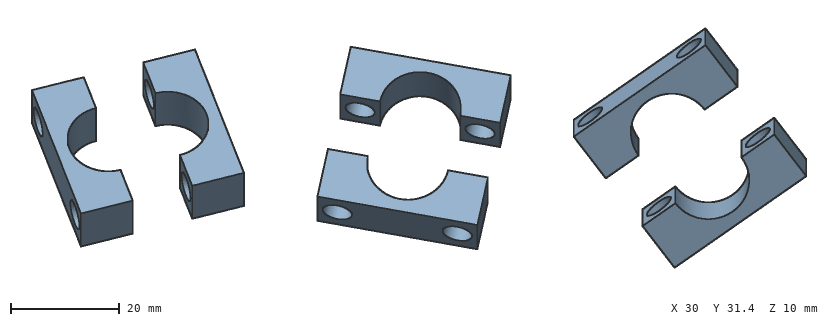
import cadquery as cq

overall_depth = 31.4
block_length = 30.0
block_side = 10.0
bore_diameter = 15.0
bolt_diameter = 5.5
bolt_spacing = 22.48

outer_face = overall_depth / 2
inner_face = outer_face - block_side
block_center = (outer_face + inner_face) / 2


def clamp_half(side):
    """Clamp half on the +Y (side = 1) or -Y (side = -1) side of the gap."""
    block = cq.Workplane("XY").box(block_length, block_side, block_side)
    block = block.translate((0, side * block_center, 0))

    bore = cq.Workplane("XY").center(0, side * inner_face)
    bore = bore.circle(bore_diameter / 2).extrude(block_side)
    bore = bore.translate((0, 0, -block_side / 2))

    bolt_holes = cq.Workplane("XZ").rarray(bolt_spacing, 0.3, 2, 1)
    bolt_holes = bolt_holes.circle(bolt_diameter / 2).extrude(overall_depth)
    bolt_holes = bolt_holes.translate((0, outer_face, 0))

    return block.cut(bore).cut(bolt_holes).solids()


clamp_halves = []
for side in (-1, 1):
    clamp_halves.append(clamp_half(side).val())

result = cq.Compound.makeCompound(clamp_halves)